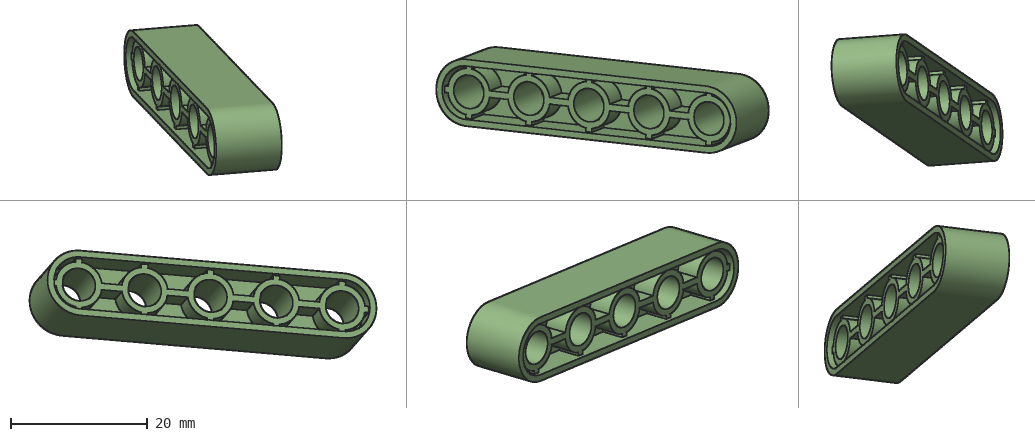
import cadquery as cq

length = 50.0
height = 10.0
depth = 10.0

hole_count = 5
hole_diameter = 5.0
tube_diameter = 7.0
pitch = (length - height) / (hole_count - 1)

wall = 1.0
rib_width = 1.0
rim_recess = 0.8
web_thickness = 1.0

inner_length = length - 2 * wall
inner_height = height - 2 * wall
core_depth = depth - 2 * rim_recess
hole_centers = [((i - (hole_count - 1) / 2) * pitch, 0) for i in range(hole_count)]


def centered_on_y(thickness):
    """XZ sketch plane placed so that extruding by thickness is centered on Y = 0."""
    return cq.Workplane("XZ", origin=(0, thickness / 2, 0))


def make_outer_wall():
    outer = centered_on_y(depth).slot2D(length, height).extrude(depth)
    cavity = centered_on_y(depth).slot2D(inner_length, inner_height).extrude(depth)
    return outer.cut(cavity)


def make_web():
    """Thin plate closing the cavity at mid depth."""
    return centered_on_y(web_thickness).slot2D(length - wall, height - wall).extrude(web_thickness)


def make_tubes():
    return centered_on_y(core_depth).pushPoints(hole_centers).circle(tube_diameter / 2).extrude(core_depth)


def make_ribs():
    """One long rib through all tubes and a cross rib at each tube, ending inside the wall."""
    long_rib = centered_on_y(core_depth).rect(length - wall, rib_width).extrude(core_depth)
    cross_ribs = (
        centered_on_y(core_depth)
        .pushPoints(hole_centers)
        .rect(rib_width, height - wall)
        .extrude(core_depth)
    )
    return long_rib.union(cross_ribs)


def make_holes():
    return centered_on_y(depth).pushPoints(hole_centers).circle(hole_diameter / 2).extrude(depth)


result = (
    make_outer_wall()
    .union(make_web())
    .union(make_tubes())
    .union(make_ribs())
    .cut(make_holes())
)